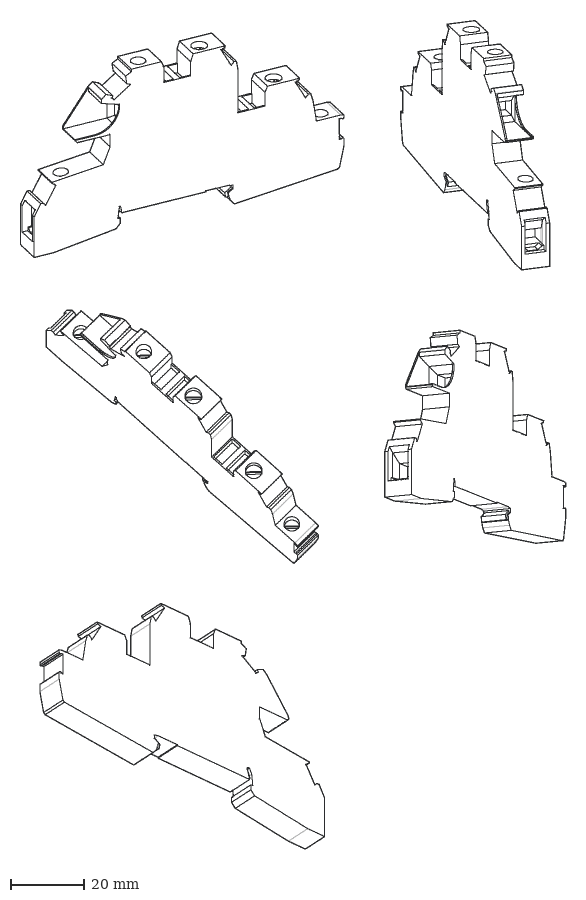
import cadquery as cq

WIDTH = 8.2
LENGTH = 95.0
HEIGHT = 51.1
FRONT = -LENGTH / 2
BACK = LENGTH / 2

WALL = 0.5
CHAMBER_WIDTH = WIDTH - 2 * WALL

MIDDLE_TOP = 35.2
BACK_DECK = 20.6
FRONT_DECK_AT_SCREW = 22.6
RAIL_SEAT = 7.1
RAIL_RELIEF = 7.4
OVERHANG_BOTTOM = 32.4
HIGH_CHANNEL_FLOOR = 44.5
MIDDLE_CHANNEL_FLOOR = 29.3

SCREW_X = 0.7
HIGH_SCREW_Y = 4.8
TIER_PITCH = 22.8
MIDDLE_SCREW_Y = HIGH_SCREW_Y + TIER_PITCH
BACK_SCREW_Y = 42.0
FRONT_TOP_SCREW_Y = -13.9
FRONT_DECK_SCREW_Y = -37.6
SMALL_BORE = 4.2
LARGE_BORE = 4.6
DRIVER_SLOT_WIDTH = 0.8
DRIVER_SLOT_DEPTH = 0.8
DRIVER_SLOT_ANGLE = -45
DRIVER_SLOT_REACH = 0.95
BORE_OVERSHOOT = 0.95

HEAD_HALF = 4.4
HIGH_HEAD_CHAMFER = 2.3
MIDDLE_HEAD_CHAMFER = 1.7
HIGH_CHANNEL_BACK = HIGH_SCREW_Y - HEAD_HALF
HIGH_CHANNEL_FRONT = -7.7
MIDDLE_CHANNEL_BACK = MIDDLE_SCREW_Y - HEAD_HALF
MIDDLE_CHANNEL_FRONT = 15.0
CHANNEL_POCKET_LENGTH = 3.1
CHANNEL_POCKET_DEPTH = 2.85
MIDDLE_POCKET_LIP = 0.4

NOSE_LIP_Y = -26.9
NOSE_CHAMBER_BACK = -21.3
NOSE_CHAMBER_FLOOR = 33.1
NOSE_WINDOW_TOP = 42.75
NOSE_MOUTH_TOP = 41.0
NOSE_CLAMP_BOTTOM = 34.5
NOSE_SIDE_RIM = 0.2
NOSE_CUT_RADIUS = 7.6

ENTRY_WIDTH = 6.1
ENTRY_FLOOR = 4.5
ENTRY_TOP = 14.2
ENTRY_DEPTH = 2.85
ENTRY_SILL_DEPTH = 1.7
ENTRY_SILL_TOP = 5.6
ENTRY_MOUTH_TOP = 12.7
ENTRY_CEILING_LAND = 0.8
GROOVE_DEPTH = 0.95

CLAMP_WIDTH = 4.75
CLAMP_HEIGHT = 4.3
CLAMP_X = 0.8
CLAMP_DEPTH = 4.75
FUNNEL_DEPTH = 1.3

HOOK_WIDTH = 7.4
SPRING_SLOT_DEPTH = 0.95


def terminal_head(screw_y, top, chamfer_height):
    """Points over one upper terminal head, from its channel edge to its back tooth."""
    return [
        (screw_y - HEAD_HALF, top - chamfer_height),
        (screw_y - 3.6, top),
        (screw_y + 6.3, top),
        (screw_y + 6.1, top - 0.6),
        (screw_y + 4.9, top - 0.95),
        (screw_y + 8.1, top - 6.6),
        (screw_y + 8.9, top - 5.6),
        (screw_y + 9.7, top - 5.7),
    ]


def housing_outline():
    """Profile points (Y, Z), running from the front foot over the top to the back."""
    front_end = [
        (-41.4, 0),
        (FRONT, 0),
        (FRONT, 12.6),
        (-45.5, 16.2),
        (-44.7, 16.2),
        (-44.0, 15.4),
        (-40.85, 20.8),
        (-42.1, 21.8),
        (-42.1, 22.0),
        (-26.3, 23.6),
        (-24.2, 28.6),
    ]
    nose = [
        (-24.2, OVERHANG_BOTTOM),
        (-34.3, OVERHANG_BOTTOM),
        (-34.7, 32.9),
        (-34.6, 33.7),
        (-26.8, 44.1),
        (-25.5, 45.2),
        (-23.4, 44.3),
        (-23.75, 43.6),
        (-23.0, 42.9),
    ]
    front_head = [
        (-18.0, 46.5),
        (-19.1, 46.9),
        (-19.5, 49.4),
        (-17.7, 50.35),
        (-17.7, HEIGHT),
        (-8.5, HEIGHT),
        (HIGH_CHANNEL_FRONT, 49.2),
    ]
    high_channel = [
        (HIGH_CHANNEL_FRONT, HIGH_CHANNEL_FLOOR),
        (HIGH_CHANNEL_BACK, HIGH_CHANNEL_FLOOR),
    ]
    middle_channel = [
        (MIDDLE_CHANNEL_FRONT, 42.75),
        (MIDDLE_CHANNEL_FRONT, MIDDLE_CHANNEL_FLOOR),
        (MIDDLE_CHANNEL_BACK, MIDDLE_CHANNEL_FLOOR),
    ]
    back_end = [
        (38.0, 27.4),
        (39.0, BACK_DECK),
        (46.5, BACK_DECK),
        (BACK, 20.3),
        (BACK, 19.5),
        (47.2, 19.2),
        (46.6, 19.5),
        (46.1, 19.5),
        (46.1, 13.1),
        (46.6, 13.1),
        (47.1, 13.4),
        (BACK, 13.1),
        (BACK, 10.7),
        (46.2, 4.5),
        (45.6, 4.0),
    ]
    rail_foot = [
        (13.9, 1.1),
        (12.8, 2.4),
        (12.3, 3.7),
        (12.0, 5.1),
        (13.4, 6.0),
        (13.4, RAIL_SEAT),
        (12.1, RAIL_RELIEF),
        (5.2, RAIL_RELIEF),
        (5.2, RAIL_SEAT),
        (-20.6, RAIL_SEAT),
        (-21.0, 9.2),
        (-21.4, 9.1),
        (-21.8, 5.7),
        (-21.1, 5.6),
        (-21.1, 4.0),
        (-22.4, 2.6),
    ]
    return (
        front_end + nose + front_head + high_channel
        + terminal_head(HIGH_SCREW_Y, HEIGHT, HIGH_HEAD_CHAMFER) + middle_channel
        + terminal_head(MIDDLE_SCREW_Y, MIDDLE_TOP, MIDDLE_HEAD_CHAMFER) + back_end + rail_foot
    )


def side_prism(points, x_start, width):
    """Closed (Y, Z) outline extruded along +X from x_start."""
    return cq.Workplane("YZ", origin=(x_start, 0, 0)).polyline(points).close().extrude(width)


def block(x_center, width, y_start, y_end, z_bottom, z_top):
    """Rectangular block centred on x_center."""
    return cq.Workplane("XY").box(width, y_end - y_start, z_top - z_bottom).translate(
        (x_center, (y_start + y_end) / 2, (z_bottom + z_top) / 2)
    )


def screw_cut(y, deck, depth, diameter):
    """Vertical bore down to a screw head, plus the driver slot in that head."""
    head = deck - depth
    bore = (
        cq.Workplane("XY", origin=(SCREW_X, y, head))
        .circle(diameter / 2)
        .extrude(depth + BORE_OVERSHOOT)
    )
    driver_slot = (
        cq.Workplane("XY", origin=(SCREW_X, y, head))
        .transformed(rotate=(0, 0, DRIVER_SLOT_ANGLE))
        .rect(diameter * DRIVER_SLOT_REACH, DRIVER_SLOT_WIDTH)
        .extrude(-DRIVER_SLOT_DEPTH)
    )
    return bore.union(driver_slot)


def channel_pockets(y_front, y_back, floor):
    """Two pockets sunk in a channel floor, one at each end of the given stretch."""
    bottom = floor - CHANNEL_POCKET_DEPTH
    near_front = block(0, CHAMBER_WIDTH, y_front, y_front + CHANNEL_POCKET_LENGTH, bottom, floor)
    near_back = block(0, CHAMBER_WIDTH, y_back - CHANNEL_POCKET_LENGTH, y_back, bottom, floor)
    return near_front.union(near_back)


def clamp_cut(y, mouth_width, mouth_bottom, mouth_top, clamp_bottom):
    """Funnel narrowing inward (+Y) from a wire chamber to a rectangular clamp opening."""
    mouth_z = (mouth_bottom + mouth_top) / 2
    clamp_z = clamp_bottom + CLAMP_HEIGHT / 2
    funnel = (
        cq.Workplane("XZ", origin=(0, y, mouth_z))
        .rect(mouth_width, mouth_top - mouth_bottom)
        .workplane(offset=-FUNNEL_DEPTH)
        .center(CLAMP_X, clamp_z - mouth_z)
        .rect(CLAMP_WIDTH, CLAMP_HEIGHT)
        .loft(ruled=True)
    )
    clamp_start = y + FUNNEL_DEPTH
    clamp = block(
        CLAMP_X, CLAMP_WIDTH, clamp_start, clamp_start + CLAMP_DEPTH,
        clamp_bottom, clamp_bottom + CLAMP_HEIGHT,
    )
    return funnel.union(clamp)


def nose_cut():
    """Chamber in the nose, open through the slope and through its +X wall."""
    beyond_nose = -36.1
    chamber = side_prism(
        [
            (beyond_nose, NOSE_CHAMBER_FLOOR),
            (NOSE_CHAMBER_BACK, NOSE_CHAMBER_FLOOR),
            (NOSE_CHAMBER_BACK, NOSE_MOUTH_TOP),
            (NOSE_LIP_Y, NOSE_WINDOW_TOP),
            (NOSE_LIP_Y, HEIGHT),
            (beyond_nose, HEIGHT),
        ],
        -CHAMBER_WIDTH / 2,
        CHAMBER_WIDTH,
    )
    wall_bottom = NOSE_CHAMBER_FLOOR + NOSE_SIDE_RIM
    side_opening = (
        cq.Workplane("YZ", origin=(WIDTH / 2 - WALL, 0, 0))
        .moveTo(beyond_nose, wall_bottom)
        .lineTo(NOSE_CHAMBER_BACK - NOSE_CUT_RADIUS, wall_bottom)
        .radiusArc((NOSE_CHAMBER_BACK, wall_bottom + NOSE_CUT_RADIUS), -NOSE_CUT_RADIUS)
        .lineTo(NOSE_CHAMBER_BACK, NOSE_MOUTH_TOP)
        .lineTo(NOSE_LIP_Y, NOSE_WINDOW_TOP)
        .lineTo(NOSE_LIP_Y, HEIGHT)
        .lineTo(beyond_nose, HEIGHT)
        .close()
        .extrude(WALL)
    )
    clamp = clamp_cut(
        NOSE_CHAMBER_BACK, CHAMBER_WIDTH, NOSE_CHAMBER_FLOOR, NOSE_MOUTH_TOP, NOSE_CLAMP_BOTTOM
    )
    return chamber.union(side_opening).union(clamp)


def front_entry_cut():
    """Wire chamber in the front end: sloping ceiling, and a grooved sill across the floor."""
    chamber_back = FRONT + ENTRY_DEPTH
    sill_front = FRONT + ENTRY_SILL_DEPTH
    chamber = side_prism(
        [
            (FRONT, ENTRY_FLOOR),
            (sill_front, ENTRY_FLOOR),
            (sill_front, ENTRY_SILL_TOP),
            (chamber_back, ENTRY_SILL_TOP),
            (chamber_back, ENTRY_MOUTH_TOP),
            (FRONT + ENTRY_CEILING_LAND, ENTRY_TOP),
            (FRONT, ENTRY_TOP),
        ],
        -ENTRY_WIDTH / 2,
        ENTRY_WIDTH,
    )
    groove = (
        cq.Workplane("XZ", origin=(0, sill_front, ENTRY_SILL_TOP))
        .polyline([(-2.6, 0), (-1.6, -GROOVE_DEPTH), (1.2, -GROOVE_DEPTH), (2.5, 0)])
        .close()
        .extrude(sill_front - chamber_back - FUNNEL_DEPTH)
    )
    clamp = clamp_cut(
        chamber_back, ENTRY_WIDTH, ENTRY_SILL_TOP, ENTRY_MOUTH_TOP, ENTRY_SILL_TOP
    )
    return chamber.union(groove).union(clamp)


def rail_hook():
    """Hook under the back foot that grips the rail, set in from both sides."""
    points = [(13.6, 5.9), (13.1, 6.6), (11.1, 5.1), (11.4, 3.7), (12.5, 3.7)]
    return side_prism(points, -HOOK_WIDTH / 2, HOOK_WIDTH)


def spring_slot():
    """Shallow slanted slot in the -X face above the front rail notch."""
    points = [(-20.6, 7.6), (-19.8, 10.3), (-20.0, 10.8), (-20.6, 10.8), (-21.4, 9.1)]
    return side_prism(points, -WIDTH / 2, SPRING_SLOT_DEPTH)


SCREWS = [
    (BACK_SCREW_Y, BACK_DECK, 2.6, SMALL_BORE),
    (MIDDLE_SCREW_Y, MIDDLE_TOP, 1.7, LARGE_BORE),
    (HIGH_SCREW_Y, HEIGHT, 1.9, LARGE_BORE),
    (FRONT_TOP_SCREW_Y, HEIGHT, 3.8, SMALL_BORE),
    (FRONT_DECK_SCREW_Y, FRONT_DECK_AT_SCREW, 2.8, SMALL_BORE),
]

result = side_prism(housing_outline(), -WIDTH / 2, WIDTH).union(rail_hook())
for screw in SCREWS:
    result = result.cut(screw_cut(*screw))
result = (
    result.cut(channel_pockets(HIGH_CHANNEL_FRONT, HIGH_CHANNEL_BACK, HIGH_CHANNEL_FLOOR))
    .cut(
        channel_pockets(
            MIDDLE_CHANNEL_FRONT + MIDDLE_POCKET_LIP, MIDDLE_CHANNEL_BACK, MIDDLE_CHANNEL_FLOOR
        )
    )
    .cut(nose_cut())
    .cut(front_entry_cut())
    .cut(spring_slot())
)